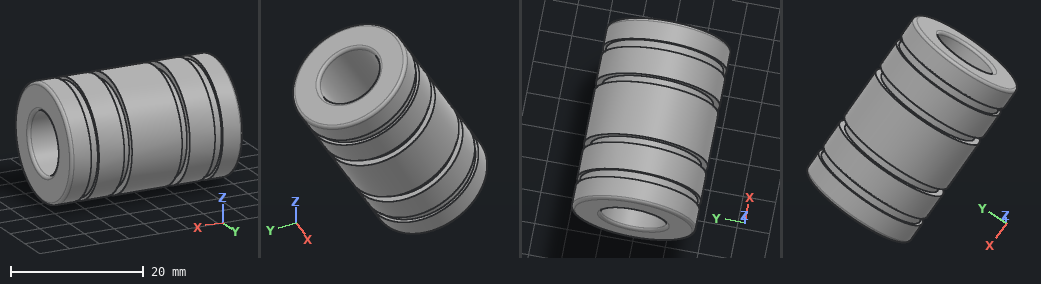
import cadquery as cq

length = 29.0
outer_diameter = 19.0
bore_diameter = 10.0
edge_radius = 0.5

groove_width = 1.3
outer_groove_offset = 3.45
outer_groove_diameter = 18.0
inner_groove_offset = 9.0
inner_groove_diameter = 17.0


def make_sleeve():
    """Tube along X, centred on the origin, with all end edges rounded."""
    tube = (
        cq.Workplane("YZ", origin=(-length / 2, 0, 0))
        .circle(outer_diameter / 2)
        .circle(bore_diameter / 2)
        .extrude(length)
    )
    return tube.faces("<X or >X").edges().fillet(edge_radius)


def make_groove_ring(start_x, floor_diameter):
    """Ring of material to remove, from the groove floor to the outer surface."""
    return (
        cq.Workplane("YZ", origin=(start_x, 0, 0))
        .circle(outer_diameter / 2)
        .circle(floor_diameter / 2)
        .extrude(groove_width)
    )


result = make_sleeve()
for offset, floor_diameter in (
    (outer_groove_offset, outer_groove_diameter),
    (inner_groove_offset, inner_groove_diameter),
):
    left_start = -length / 2 + offset
    right_start = length / 2 - offset - groove_width
    for start_x in (left_start, right_start):
        result = result.cut(make_groove_ring(start_x, floor_diameter))